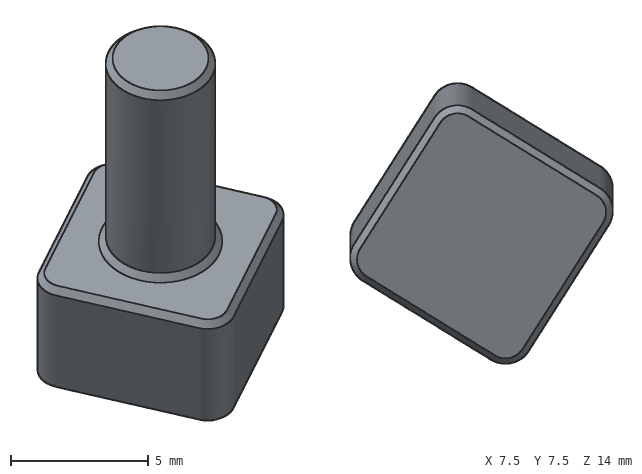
import cadquery as cq

total_height = 14.0
base_width = 7.5
base_height = 5.0
corner_radius = 1.0
pin_diameter = 4.0
edge_chamfer = 0.25

pin_radius = pin_diameter / 2
collar_radius = pin_radius + edge_chamfer


def make_base():
    """Square block with rounded corners and chamfered top and bottom rims."""
    block = cq.Workplane("XY").box(base_width, base_width, base_height, centered=(True, True, False))
    return block.edges("|Z").fillet(corner_radius).faces("<Z or >Z").edges().chamfer(edge_chamfer)


def make_pin():
    """Round pin with a chamfered tip and a conical collar, standing on the base."""
    profile = (
        cq.Workplane("XZ")
        .moveTo(0, base_height)
        .lineTo(collar_radius, base_height)
        .lineTo(pin_radius, base_height + edge_chamfer)
        .lineTo(pin_radius, total_height - edge_chamfer)
        .lineTo(pin_radius - edge_chamfer, total_height)
        .lineTo(0, total_height)
        .close()
    )
    return profile.revolve(360, (0, 0, 0), (0, 1, 0))


result = make_base().union(make_pin())